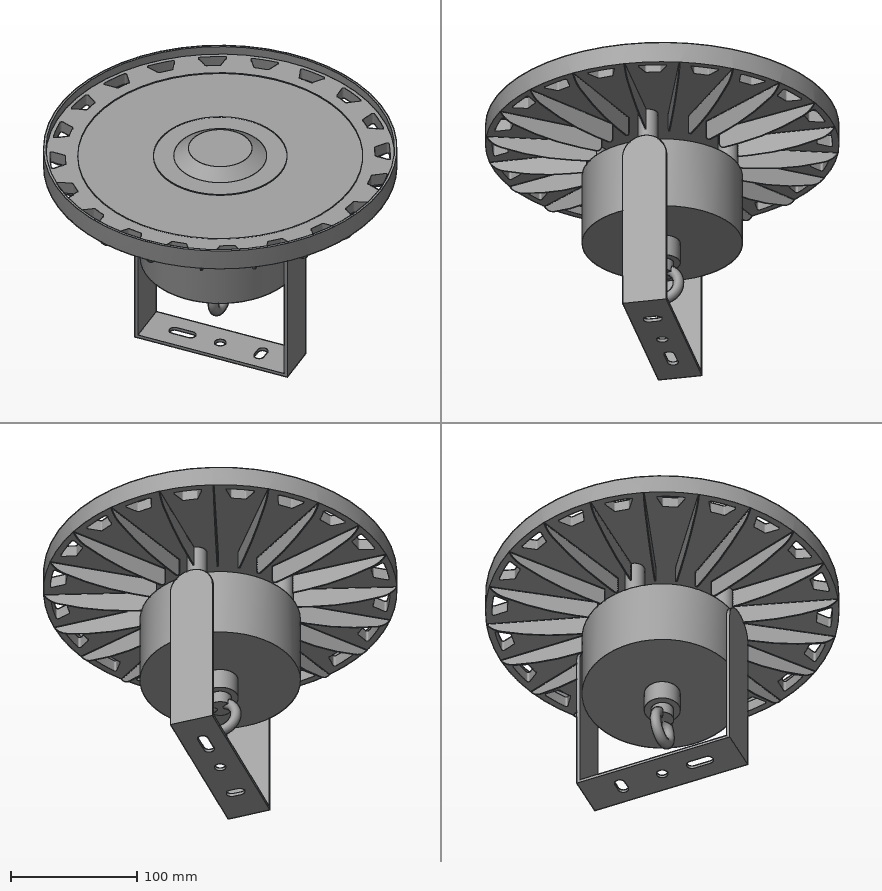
import cadquery as cq
import math

overall_height = 192.0

rim_diameter = 280.0
rim_inner_diameter = 276.0
rim_height = 17.5
rim_lip_height = 7.3
recess_diameter = 225.7
recess_depth = 0.8
pad_diameter = 105.8
pad_height = 0.8
dome_base_diameter = 73.5
dome_top_diameter = 50.5

rim_bottom_z = overall_height - rim_height
plate_top_z = overall_height - rim_lip_height
recess_floor_z = plate_top_z - recess_depth
pad_top_z = recess_floor_z + pad_height

fin_count = 20
fin_pitch = 360.0 / fin_count
window_outer_radius = 134.7
window_inner_radius = 122.5
window_outer_half_width = 12.0
window_inner_half_width = 6.0
window_corner_radius = 1.5

fin_thickness = 0.8
fin_depth = 17.5
fin_inner_radius = 52.5
fin_flat_radius = 71.0
fin_shoulder_radius = 128.8
fin_shoulder_rise = 8.7
fin_corner_radius = 5.0

driver_diameter = 127.0
driver_height = 60.0
driver_top_z = 146.2
driver_bottom_z = driver_top_z - driver_height
post_diameter = 16.0
post_circle_radius = 53.2
post_count = 4

neck_diameter = 28.5
neck_height = 17.5
collar_diameter = 18.2
collar_height = 10.5
ring_wire_diameter = 8.5
ring_mean_radius = 13.2
ring_bottom_z = 32.2

bracket_inner_width = driver_diameter
bracket_thickness = 2.8
bracket_depth = 35.3
bracket_height = 148.7
bracket_hole_diameter = 9.0
slot_width = 8.5
long_slot_offset = 32.8
long_slot_length = 22.5
short_slot_offset = 35.3
short_slot_length = 15.0


def cylinder(diameter, bottom_z, top_z):
    """Cylinder on the lamp axis between two heights."""
    return cq.Workplane("XY", origin=(0, 0, bottom_z)).circle(diameter / 2).extrude(top_z - bottom_z)


def make_plate():
    """Round head with a raised lip, a shallow recess and a raised centre pad."""
    plate = cylinder(rim_diameter, rim_bottom_z, overall_height)
    plate = plate.cut(cylinder(rim_inner_diameter, plate_top_z, overall_height))
    plate = plate.cut(cylinder(recess_diameter, recess_floor_z, plate_top_z))
    return plate.union(cylinder(pad_diameter, recess_floor_z, pad_top_z))


def make_dome():
    """Tapered dome with a flat top, standing on the centre pad."""
    return (
        cq.Workplane("XY", origin=(0, 0, pad_top_z))
        .circle(dome_base_diameter / 2)
        .workplane(offset=overall_height - pad_top_z)
        .circle(dome_top_diameter / 2)
        .loft()
    )


def make_window():
    """Cutter for the vent window on the +X side: tapered sides between two concentric arcs."""
    inner_corner_x = math.sqrt(window_inner_radius**2 - window_inner_half_width**2)
    outer_corner_x = math.sqrt(window_outer_radius**2 - window_outer_half_width**2)
    return (
        cq.Workplane("XY", origin=(0, 0, rim_bottom_z))
        .moveTo(inner_corner_x, -window_inner_half_width)
        .lineTo(outer_corner_x, -window_outer_half_width)
        .threePointArc((window_outer_radius, 0), (outer_corner_x, window_outer_half_width))
        .lineTo(inner_corner_x, window_inner_half_width)
        .threePointArc((window_inner_radius, 0), (inner_corner_x, -window_inner_half_width))
        .close()
        .extrude(rim_height)
        .edges("|Z")
        .fillet(window_corner_radius)
    )


def make_fin():
    """Thin radial fin on the +X side; its lower edge runs flat, then up in two tangent arcs."""
    fin_bottom_z = rim_bottom_z - fin_depth
    outer_radius = rim_diameter / 2
    fin = (
        cq.Workplane("XZ", origin=(0, fin_thickness / 2, 0))
        .moveTo(fin_inner_radius, rim_bottom_z)
        .lineTo(fin_inner_radius, fin_bottom_z)
        .lineTo(fin_flat_radius, fin_bottom_z)
        .tangentArcPoint((fin_shoulder_radius, fin_bottom_z + fin_shoulder_rise), relative=False)
        .tangentArcPoint((outer_radius, rim_bottom_z), relative=False)
        .close()
        .extrude(fin_thickness)
    )
    return fin.edges("|Y and <X and <Z").fillet(fin_corner_radius)


def make_posts():
    """Posts between the driver housing and the head."""
    return (
        cq.Workplane("XY", origin=(0, 0, driver_top_z))
        .polarArray(post_circle_radius, 0, 360, post_count)
        .circle(post_diameter / 2)
        .extrude(rim_bottom_z - driver_top_z)
    )


def make_hanging_eye():
    """Stepped neck and the ring below it, the ring lying in the YZ plane."""
    collar_top_z = driver_bottom_z - neck_height
    neck = cylinder(neck_diameter, collar_top_z, driver_bottom_z)
    collar = cylinder(collar_diameter, collar_top_z - collar_height, collar_top_z)
    ring_center_z = ring_bottom_z + ring_mean_radius + ring_wire_diameter / 2
    ring = cq.Solid.makeTorus(
        ring_mean_radius,
        ring_wire_diameter / 2,
        cq.Vector(0, 0, ring_center_z),
        cq.Vector(1, 0, 0),
    )
    return neck.union(collar).union(cq.Workplane(ring))


def make_lamp():
    """Head, fins, posts, driver housing and hanging eye as one solid."""
    lamp = make_plate().union(make_dome())
    window = make_window()
    fin = make_fin()
    for index in range(fin_count):
        fin_angle = index * fin_pitch
        lamp = lamp.cut(window.rotate((0, 0, 0), (0, 0, 1), fin_angle + fin_pitch / 2))
        lamp = lamp.union(fin.rotate((0, 0, 0), (0, 0, 1), fin_angle))
    lamp = lamp.union(make_posts())
    lamp = lamp.union(cylinder(driver_diameter, driver_bottom_z, driver_top_z))
    return lamp.union(make_hanging_eye())


def make_base_slot(center_x, length, angle):
    """Cutter for a slot through the bracket base, its long axis turned by angle from X."""
    return (
        cq.Workplane("XY")
        .center(center_x, 0)
        .slot2D(length, slot_width, angle)
        .extrude(bracket_thickness)
    )


def make_bracket():
    """U-shaped strap with round arm ends, a centre hole and two slots in its base."""
    outer_width = bracket_inner_width + 2 * bracket_thickness
    end_radius = bracket_depth / 2
    strap = (
        cq.Workplane("YZ", origin=(-outer_width / 2, 0, 0))
        .moveTo(-end_radius, 0)
        .lineTo(end_radius, 0)
        .lineTo(end_radius, bracket_height - end_radius)
        .threePointArc((0, bracket_height), (-end_radius, bracket_height - end_radius))
        .close()
        .extrude(outer_width)
    )
    inner_space = cq.Workplane("XY", origin=(0, 0, bracket_thickness)).box(
        bracket_inner_width, bracket_depth, bracket_height, centered=(True, True, False)
    )
    center_hole = cylinder(bracket_hole_diameter, 0, bracket_thickness)
    long_slot = make_base_slot(-long_slot_offset, long_slot_length, 0)
    short_slot = make_base_slot(short_slot_offset, short_slot_length, 90)
    return strap.cut(inner_space).cut(center_hole).cut(long_slot).cut(short_slot)


lamp = make_lamp()
bracket = make_bracket()

result = cq.Compound.makeCompound([lamp.solids().val(), bracket.solids().val()])